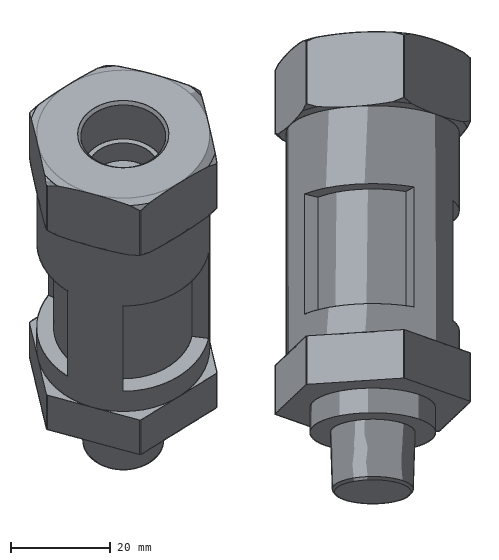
import cadquery as cq
import math

across_flats = 34.9
across_corners = 40.1
sleeve_radius = across_flats / 2

stem_length = 12.6
collar_height = 5.2
base_hex_height = 10.3
rim_height = 6.1
window_height = 25.4
band_height = 16.5
cap_hex_height = 15.7

collar_bottom = stem_length
base_hex_bottom = collar_bottom + collar_height
sleeve_bottom = base_hex_bottom + base_hex_height
window_bottom = sleeve_bottom + rim_height
cap_hex_bottom = window_bottom + window_height + band_height
total_height = cap_hex_bottom + cap_hex_height

stem_radius = 8.5
stem_tip_radius = 8.2
stem_chamfer_height = 0.55
stem_end_radius = 7.7
collar_radius = 12.7
core_radius = 14.05

chamfer_radius = 19.1
chamfer_drop = 0.5
corner_drop = 1.2
window_count = 3
window_angle = 80.0
first_window_direction = 90.0
port_mouth_radius = 9.2
port_chamfer_height = 0.6
port_radius = 8.5
port_floor_radius = 8.3
port_depth = 10.5
passage_radius = 7.2


def cylinder(radius, bottom, height):
    return cq.Workplane("XY").workplane(offset=bottom).circle(radius).extrude(height)


def revolved(profile):
    """Turn a closed list of (radius, height) points about the Z axis."""
    return cq.Workplane("XZ").polyline(profile).close().revolve(360, (0, 0), (0, 1))


def hexagon(bottom, height):
    """Hexagon with corners on the X axis and its six edges turned down."""
    sharp_diameter = across_flats / math.cos(math.radians(30))
    prism = cq.Workplane("XY").workplane(offset=bottom).polygon(6, sharp_diameter).extrude(height)
    return prism.intersect(cylinder(across_corners / 2, bottom, height))


def make_fitting():
    stem = revolved([
        (0, 0),
        (stem_end_radius, 0),
        (stem_tip_radius, stem_chamfer_height),
        (stem_radius, stem_length),
        (0, stem_length),
    ])
    collar = cylinder(collar_radius, collar_bottom, collar_height)
    core = cylinder(core_radius, sleeve_bottom, cap_hex_bottom - sleeve_bottom)
    return stem.union(collar).union(hexagon(base_hex_bottom, base_hex_height)).union(core)


def chamfered_hexagon():
    """Cap hexagon with a shallow cone and a steeper one on its corners at both ends."""
    corner_radius = across_corners / 2
    envelope = revolved([
        (0, cap_hex_bottom),
        (sleeve_radius, cap_hex_bottom),
        (chamfer_radius, cap_hex_bottom + chamfer_drop),
        (corner_radius, cap_hex_bottom + corner_drop),
        (corner_radius, total_height - corner_drop),
        (chamfer_radius, total_height - chamfer_drop),
        (sleeve_radius, total_height),
        (0, total_height),
    ])
    return hexagon(cap_hex_bottom, cap_hex_height).intersect(envelope)


def window_cutter(direction):
    """Sector with radial walls, reaching past the outside of the sleeve."""
    reach = 2 * sleeve_radius
    half_angle = math.radians(window_angle / 2)
    corner = (reach * math.cos(half_angle), reach * math.sin(half_angle))
    sector = (
        cq.Workplane("XY")
        .workplane(offset=window_bottom)
        .lineTo(*corner)
        .threePointArc((reach, 0), (corner[0], -corner[1]))
        .close()
        .extrude(window_height)
    )
    return sector.rotate((0, 0, 0), (0, 0, 1), direction)


def port_cutter():
    """Tapered port with a chamfered mouth, and the narrower passage below it."""
    ledge = total_height - port_depth
    return revolved([
        (0, cap_hex_bottom),
        (passage_radius, cap_hex_bottom),
        (passage_radius, ledge),
        (port_floor_radius, ledge),
        (port_radius, total_height - port_chamfer_height),
        (port_mouth_radius, total_height),
        (0, total_height),
    ])


def make_cap():
    sleeve_height = cap_hex_bottom - sleeve_bottom
    cap = chamfered_hexagon().union(cylinder(sleeve_radius, sleeve_bottom, sleeve_height))
    cap = cap.cut(cylinder(core_radius, sleeve_bottom, sleeve_height))
    for index in range(window_count):
        direction = first_window_direction + index * 360 / window_count
        cap = cap.cut(window_cutter(direction))
    return cap.cut(port_cutter())


fitting = make_fitting()
cap = make_cap()

result = cq.Compound.makeCompound([fitting.val(), cap.val()])